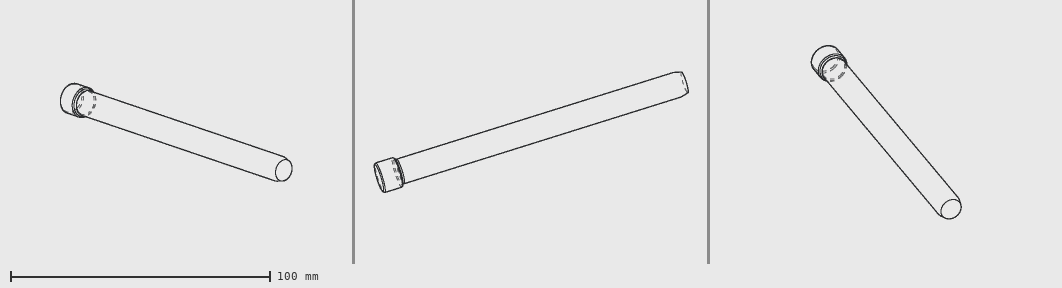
import cadquery as cq

total_length = 125.0
head_radius = 12.0 / 2
head_length = 8.0
head_chamfer = 0.5
shank_radius = 10.0 / 2
groove_width = 0.8
groove_depth = groove_width / 2
tip_length = 3.0
tip_end_radius = 8.5 / 2

start_x = -total_length / 2
end_x = start_x + total_length
head_end_x = start_x + head_length
groove_middle_x = head_end_x + groove_width / 2
groove_end_x = head_end_x + groove_width
tip_start_x = end_x - tip_length


def make_head():
    """Cylindrical head chamfered at both ends."""
    head = cq.Workplane("YZ", origin=(start_x, 0, 0)).circle(head_radius).extrude(head_length)
    return head.faces("<X or >X").edges().chamfer(head_chamfer)


def make_shank():
    """Shank with a rounded groove behind the head and a conical tip."""
    profile = (
        cq.Workplane("XY")
        .moveTo(start_x + head_length / 2, 0)
        .lineTo(start_x + head_length / 2, shank_radius)
        .lineTo(head_end_x, shank_radius)
        .threePointArc((groove_middle_x, shank_radius - groove_depth), (groove_end_x, shank_radius))
        .lineTo(tip_start_x, shank_radius)
        .lineTo(end_x, tip_end_radius)
        .lineTo(end_x, 0)
        .close()
    )
    return profile.revolve(360, (0, 0, 0), (1, 0, 0))


result = make_head().union(make_shank())